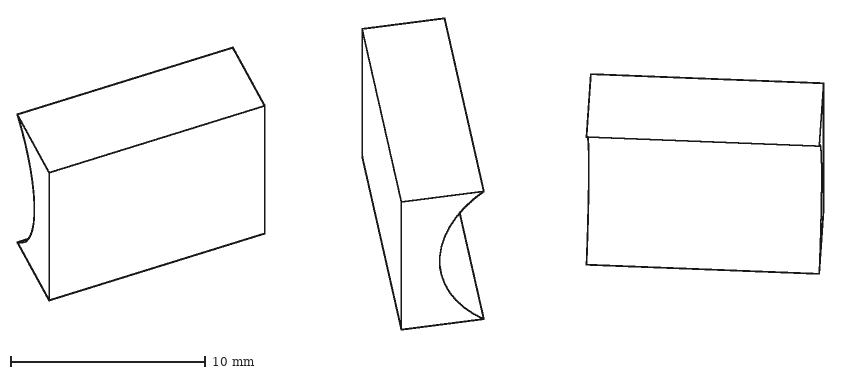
import cadquery as cq

width = 4.31
length = 12.0
height = 10.0

wall_thickness = 2.0

front_x = -width / 2
back_x = width / 2
hollow_x = back_x - wall_thickness
half_height = height / 2


def saddle_profile():
    """Cross-section in XZ: flat top, back and bottom, concave arc in front."""
    return (
        cq.Workplane("XZ")
        .moveTo(front_x, -half_height)
        .lineTo(back_x, -half_height)
        .lineTo(back_x, half_height)
        .lineTo(front_x, half_height)
        .threePointArc((hollow_x, 0), (front_x, -half_height))
        .close()
    )


result = saddle_profile().extrude(length / 2, both=True)